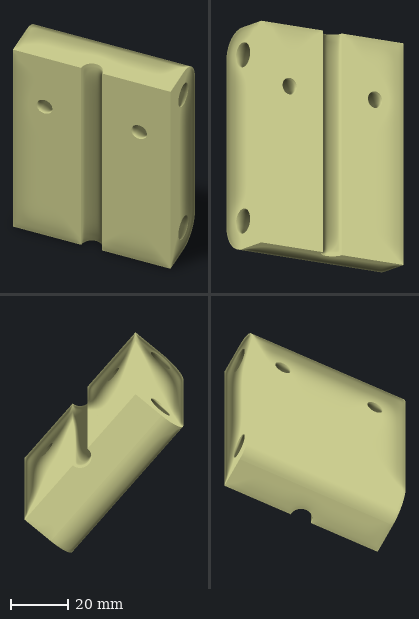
import cadquery as cq

width = 60.0
depth = 22.0
height = 80.0
back_edge_radius = 10.0

groove_radius = 4.0

cross_hole_diameter = 9.0
cross_hole_depth_from_front = 11.5
cross_hole_end_distance = 10.0

mount_hole_diameter = 6.0
mount_hole_spacing = 36.0
mount_hole_top_distance = 22.0


def make_block():
    block = cq.Workplane("XY").box(width, depth, height, centered=(True, False, False))
    return block.faces(">Y").edges("|X").fillet(back_edge_radius)


def make_groove():
    return cq.Workplane("XY").circle(groove_radius).extrude(height)


def make_cross_holes():
    heights = (cross_hole_end_distance, height - cross_hole_end_distance)
    centers = [(cross_hole_depth_from_front, z) for z in heights]
    profile = cq.Workplane("YZ").pushPoints(centers).circle(cross_hole_diameter / 2)
    return profile.extrude(width / 2, both=True)


def make_mount_holes():
    hole_height = height - mount_hole_top_distance
    centers = [(side * mount_hole_spacing / 2, hole_height) for side in (-1, 1)]
    profile = cq.Workplane("XZ").pushPoints(centers).circle(mount_hole_diameter / 2)
    return profile.extrude(-depth)


result = make_block().cut(make_groove()).cut(make_cross_holes()).cut(make_mount_holes())